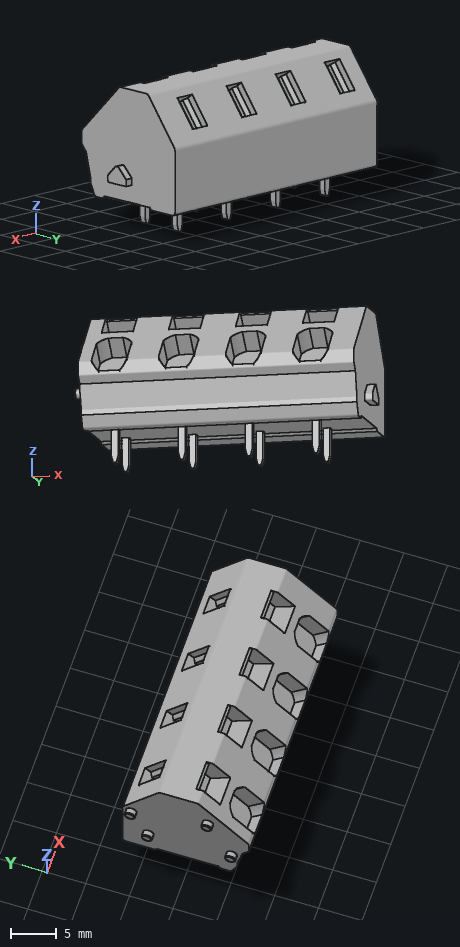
import cadquery as cq
import math

housing_length = 30.9
housing_depth = 14.5
housing_height = 13.0

pole_count = 4
pole_pitch = 7.5
first_pole_x = 3.48

front_slope_angle = math.radians(45)
front_slope_start_z = 7.15
top_front_y = (housing_height - front_slope_start_z) / math.tan(front_slope_angle)

top_rear_y = 10.27
rear_slope_end_z = 7.55
rear_slope_angle = math.atan2(housing_height - rear_slope_end_z, housing_depth - top_rear_y)

nose_bottom_z = 5.55
step_y = 0.68
step_z = 4.75
foot_front_y = 1.35
foot_top_z = 2.0
foot_bottom_z = 1.43
front_foot_y = 2.05

channel_height = 0.3
channel_front_y = 3.55
channel_rear_y = 10.5

nose_radius = 0.6
nose_lower_radius = 0.25
front_foot_radius = 0.4
top_front_radius = 0.32
top_rear_radius = 0.62
rear_slope_radius = 0.65
rear_foot_radius = 0.45

slot_width = 3.95
slot_depth = 2.6
slot_lower_end = -0.85
slot_upper_end = 4.3
slot_end_radius = 2.2
slot_lower_flat = 2.35
slot_upper_flat = 1.62

pocket_width = 3.55
pocket_depth = slot_depth
pocket_lower_end = 5.43
pocket_upper_end = 8.4
pocket_floor_lower_end = 6.08
pocket_floor_upper_end = 8.4
shelf_depth = 0.52
shelf_end = 9.42

test_hole_width = 2.25
test_hole_inner_width = 1.25
test_hole_length = 3.9
test_hole_centre_y = 12.22
test_hole_straight_depth = 0.85
test_hole_taper_depth = 0.35
test_hole_depth = 1.72

stud_centres = [(13.45, 7.12), (11.5, 3.28), (4.68, 9.3), (1.95, 3.93)]
stud_diameter = 1.2
stud_height = 0.7
stud_chamfer = 0.1

boss_height = 0.88
boss_front_y = 4.97
boss_rear_y = 7.8
boss_bottom_z = 2.3
boss_shoulder_z = 3.1
boss_ridge_radius = 0.42
boss_shoulder_radius = 0.42
boss_foot_radius = 0.2

pin_x_offset = -0.35
pin_row_y = [4.5, 9.5]
pin_width = 0.78
pin_thickness = 0.85
pin_taper_z = -2.7
pin_nose_z = -3.28
pin_tip_z = -3.48
pin_nose_width = 0.5

pole_x = [first_pole_x + i * pole_pitch for i in range(pole_count)]


def end_prism(points, start_x, length):
    """Prism along X with the given (y, z) outline."""
    return cq.Workplane("YZ", origin=(start_x, 0, 0)).polyline(points).close().extrude(length)


def round_edge(body, y, z, radius):
    """Round the edge along X that passes through (y, z)."""
    middle_x = body.val().BoundingBox().center.x
    return body.edges(cq.selectors.NearestToPointSelector((middle_x, y, z))).fillet(radius)


def front_slope_plane(x):
    """Plane on the front slope: local y runs up the slope from its lower edge, normal outward."""
    normal = (0, -math.sin(front_slope_angle), math.cos(front_slope_angle))
    return cq.Plane(origin=(x, 0, front_slope_start_z), xDir=(1, 0, 0), normal=normal)


def rear_slope_plane(x):
    """Plane on the rear slope, centred on the test hole: local y runs up the slope, normal outward."""
    z = housing_height - (test_hole_centre_y - top_rear_y) * math.tan(rear_slope_angle)
    normal = (0, math.sin(rear_slope_angle), math.cos(rear_slope_angle))
    return cq.Plane(origin=(x, test_hole_centre_y, z), xDir=(-1, 0, 0), normal=normal)


def housing_block():
    outline = [
        (0, nose_bottom_z),
        (0, front_slope_start_z),
        (top_front_y, housing_height),
        (top_rear_y, housing_height),
        (housing_depth, rear_slope_end_z),
        (housing_depth, 0),
        (channel_rear_y + channel_height, 0),
        (channel_rear_y, channel_height),
        (channel_front_y, channel_height),
        (channel_front_y - channel_height, 0),
        (front_foot_y, 0),
        (foot_front_y, foot_bottom_z),
        (foot_front_y, foot_top_z),
        (step_y, step_z),
    ]
    block = end_prism(outline, 0, housing_length)
    block = round_edge(block, 0, nose_bottom_z, nose_lower_radius)
    block = round_edge(block, 0, front_slope_start_z, nose_radius)
    block = round_edge(block, top_front_y, housing_height, top_front_radius)
    block = round_edge(block, top_rear_y, housing_height, top_rear_radius)
    block = round_edge(block, housing_depth, rear_slope_end_z, rear_slope_radius)
    block = round_edge(block, housing_depth, 0, rear_foot_radius)
    return round_edge(block, front_foot_y, 0, front_foot_radius)


def end_arc_rise(inner_offset, outer_offset):
    """Length along the slot between two offsets from its axis, on the circle that rounds its end."""
    return math.sqrt(slot_end_radius**2 - inner_offset**2) - math.sqrt(slot_end_radius**2 - outer_offset**2)


def wire_slot(x):
    """Slot with round ends cut off flat, which also breaks through the front face below the slope."""
    half = slot_width / 2
    lower_half = slot_lower_flat / 2
    upper_half = slot_upper_flat / 2
    lower_corner = slot_lower_end + end_arc_rise(lower_half, half)
    upper_corner = slot_upper_end - end_arc_rise(upper_half, half)
    return (
        cq.Workplane(front_slope_plane(x))
        .moveTo(-lower_half, slot_lower_end)
        .lineTo(lower_half, slot_lower_end)
        .radiusArc((half, lower_corner), -slot_end_radius)
        .lineTo(half, upper_corner)
        .radiusArc((upper_half, slot_upper_end), -slot_end_radius)
        .lineTo(-upper_half, slot_upper_end)
        .radiusArc((-half, upper_corner), -slot_end_radius)
        .lineTo(-half, lower_corner)
        .radiusArc((-lower_half, slot_lower_end), -slot_end_radius)
        .close()
        .extrude(-slot_depth)
    )


def lever_pocket(x):
    """Pocket with a narrowing floor and a shallow shelf that opens into the top face."""
    profile = [
        (pocket_lower_end, 0),
        (pocket_floor_lower_end, -pocket_depth),
        (pocket_floor_upper_end, -pocket_depth),
        (pocket_upper_end, -shelf_depth),
        (shelf_end, -shelf_depth),
        (shelf_end, 0),
    ]
    slope = front_slope_plane(x - pocket_width / 2)
    side = cq.Plane(origin=slope.origin, xDir=slope.yDir, normal=slope.xDir)
    return cq.Workplane(side).polyline(profile).close().extrude(pocket_width)


def test_hole(x):
    """Rectangular hole whose side walls step in through a tapered stretch."""
    half = test_hole_width / 2
    inner_half = test_hole_inner_width / 2
    taper_end = test_hole_straight_depth + test_hole_taper_depth
    profile = [
        (-half, 0),
        (-half, -test_hole_straight_depth),
        (-inner_half, -taper_end),
        (-inner_half, -test_hole_depth),
        (inner_half, -test_hole_depth),
        (inner_half, -taper_end),
        (half, -test_hole_straight_depth),
        (half, 0),
    ]
    slope = rear_slope_plane(x)
    section = cq.Plane(origin=slope.origin, xDir=slope.xDir, normal=-slope.yDir)
    return cq.Workplane(section).polyline(profile).close().extrude(test_hole_length / 2, both=True)


def locating_studs():
    studs = (
        cq.Workplane("YZ")
        .pushPoints(stud_centres)
        .circle(stud_diameter / 2)
        .extrude(-stud_height)
    )
    return studs.faces("<X").chamfer(stud_chamfer)


def locating_boss():
    """Gable-shaped boss with a rounded ridge."""
    ridge_y = (boss_front_y + boss_rear_y) / 2
    ridge_z = boss_shoulder_z + (boss_rear_y - boss_front_y) / 2
    outline = [
        (boss_front_y, boss_bottom_z),
        (boss_front_y, boss_shoulder_z),
        (ridge_y, ridge_z),
        (boss_rear_y, boss_shoulder_z),
        (boss_rear_y, boss_bottom_z),
    ]
    boss = end_prism(outline, housing_length, boss_height)
    boss = round_edge(boss, ridge_y, ridge_z, boss_ridge_radius)
    boss = round_edge(boss, boss_front_y, boss_shoulder_z, boss_shoulder_radius)
    return round_edge(boss, boss_front_y, boss_bottom_z, boss_foot_radius)


def make_housing():
    body = housing_block()
    for x in pole_x:
        body = body.cut(wire_slot(x)).cut(lever_pocket(x)).cut(test_hole(x))
    return body.union(locating_studs()).union(locating_boss())


def make_pin(x, y):
    """Flat pin that hangs from the channel roof, with a tapered and rounded tip."""
    half = pin_width / 2
    nose_half = pin_nose_width / 2
    return (
        cq.Workplane("XZ", origin=(x, y, 0))
        .moveTo(-half, channel_height)
        .lineTo(-half, pin_taper_z)
        .lineTo(-nose_half, pin_nose_z)
        .threePointArc((0, pin_tip_z), (nose_half, pin_nose_z))
        .lineTo(half, pin_taper_z)
        .lineTo(half, channel_height)
        .close()
        .extrude(pin_thickness / 2, both=True)
    )


housing = make_housing()
pins = [make_pin(x + pin_x_offset, y) for x in pole_x for y in pin_row_y]

result = cq.Compound.makeCompound([housing.val(), *[pin.val() for pin in pins]])